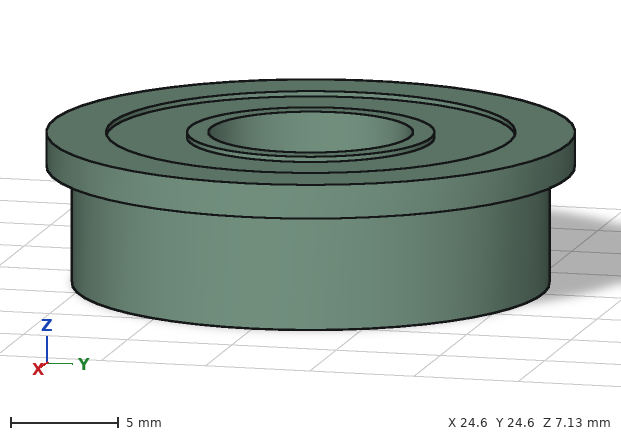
import cadquery as cq

flange_diameter = 24.6
flange_thickness = 1.6
body_diameter = 22.23
total_height = 7.13
bore_diameter = 9.52

recess_outer_diameter = 19.03
recess_inner_diameter = 11.5
recess_depth = 0.25

body_height = total_height - flange_thickness


def ring(outer_diameter, inner_diameter, bottom, height):
    """Flat ring around the Z axis, rising from the given bottom level."""
    return (
        cq.Workplane("XY", origin=(0, 0, bottom))
        .circle(outer_diameter / 2)
        .circle(inner_diameter / 2)
        .extrude(height)
    )


body = ring(body_diameter, bore_diameter, 0, body_height)
flange = ring(flange_diameter, bore_diameter, body_height, flange_thickness)
recess = ring(
    recess_outer_diameter,
    recess_inner_diameter,
    total_height - recess_depth,
    recess_depth,
)

result = body.union(flange).cut(recess)